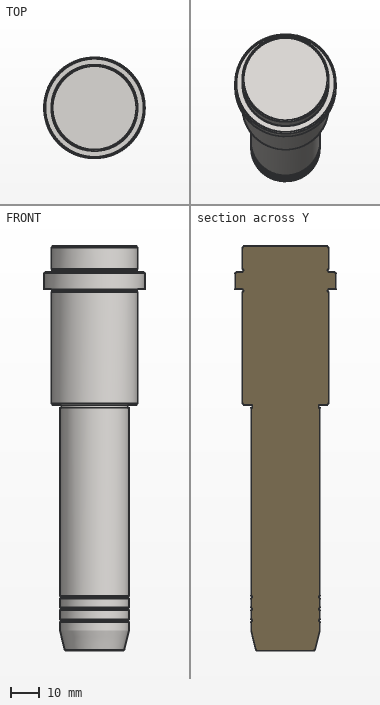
import cadquery as cq

length = 140.0
flange_radius = 35.0 / 2
head_radius = 30.0 / 2
stem_radius = 24.0 / 2
tip_radius = 20.7 / 2

flange_top = length - 9.0
flange_bottom = length - 15.0
shoulder_bottom = length - 55.0
taper_height = 7.0

edge_chamfer = 0.5
tip_chamfer = 0.4

relief_width = 1.0
relief_depth = 0.4

groove_count = 3
groove_width = 1.0
groove_depth = 0.4
groove_pitch = 4.0
first_groove_bottom = 10.0


def cylinder(radius, bottom, top):
    """Solid cylinder on the Z axis between two heights."""
    return cq.Workplane("XY").workplane(offset=bottom).circle(radius).extrude(top - bottom)


def ring_cut(radius, depth, bottom, width):
    """Ring that cuts a square groove into a cylinder of the given radius."""
    ring = cq.Workplane("XY").workplane(offset=bottom)
    return ring.circle(radius).circle(radius - depth).extrude(width)


def vee_cut(radius, depth, bottom, width):
    """Ring that cuts a V groove into a cylinder of the given radius."""
    return (
        cq.Workplane("XZ")
        .polyline([
            (radius, bottom),
            (radius - depth, bottom + width / 2),
            (radius, bottom + width),
        ])
        .close()
        .revolve(360, (0, 0, 0), (0, 1, 0))
    )


tip_edge_radius = tip_radius - tip_chamfer
stem = (
    cq.Workplane("XZ")
    .polyline([
        (0, 0),
        (tip_edge_radius, 0),
        (tip_radius, tip_chamfer),
        (stem_radius, taper_height),
        (stem_radius, shoulder_bottom),
        (0, shoulder_bottom),
    ])
    .close()
    .revolve(360, (0, 0, 0), (0, 1, 0))
)

head = cylinder(head_radius, shoulder_bottom, length).faces("<Z or >Z").chamfer(edge_chamfer)
flange = cylinder(flange_radius, flange_bottom, flange_top).faces(">Z").chamfer(edge_chamfer)
result = stem.union(head).union(flange)

for relief_bottom in (flange_top, flange_bottom - relief_width):
    result = result.cut(vee_cut(head_radius, relief_depth, relief_bottom, relief_width))
stem_relief_bottom = shoulder_bottom - relief_width
result = result.cut(ring_cut(stem_radius, relief_depth, stem_relief_bottom, relief_width))

for index in range(groove_count):
    groove_bottom = first_groove_bottom + index * groove_pitch
    result = result.cut(vee_cut(stem_radius, groove_depth, groove_bottom, groove_width))